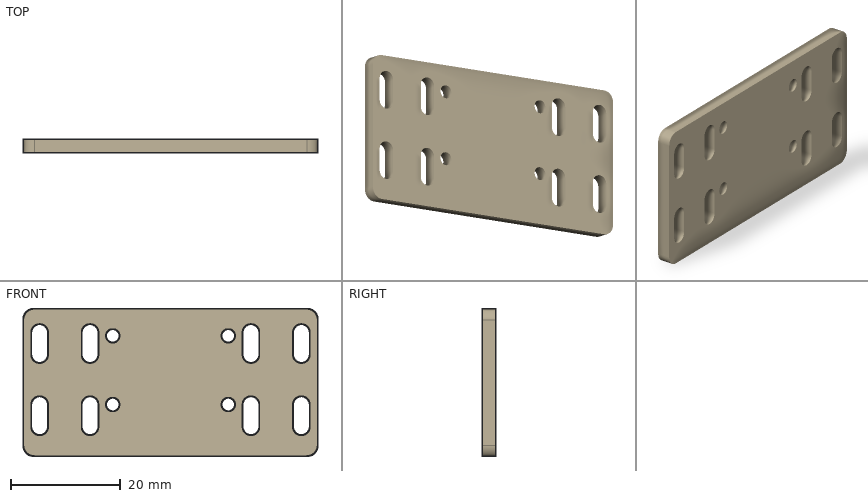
import cadquery as cq

length = 53.6
thickness = 2.5
height = 26.85
corner_radius = 2.0

slot_width = 3.0
slot_length = 7.0
outer_slot_x = 23.8
inner_slot_x = 14.65
upper_slot_z = 7.1
slot_row_spacing = 13.15

hole_diameter = 2.4
hole_x = 10.5
upper_hole_z = 8.45
hole_row_spacing = 12.5


def mirrored_rows(x_offsets, upper_z, row_spacing):
    """Points on both sides of the middle, in an upper and a lower row."""
    return [
        (side * x, z)
        for x in x_offsets
        for side in (-1, 1)
        for z in (upper_z, upper_z - row_spacing)
    ]


def make_plate():
    plate = cq.Workplane("XY").box(length, thickness, height)
    return plate.edges("|Y").fillet(corner_radius)


def cut_slots(plate):
    centres = mirrored_rows((outer_slot_x, inner_slot_x), upper_slot_z, slot_row_spacing)
    slots = (
        cq.Workplane("XZ")
        .pushPoints(centres)
        .slot2D(slot_length, slot_width, angle=90)
        .extrude(thickness, both=True)
    )
    return plate.cut(slots)


def cut_holes(plate):
    centres = mirrored_rows((hole_x,), upper_hole_z, hole_row_spacing)
    holes = (
        cq.Workplane("XZ")
        .pushPoints(centres)
        .circle(hole_diameter / 2)
        .extrude(thickness, both=True)
    )
    return plate.cut(holes)


result = cut_holes(cut_slots(make_plate()))